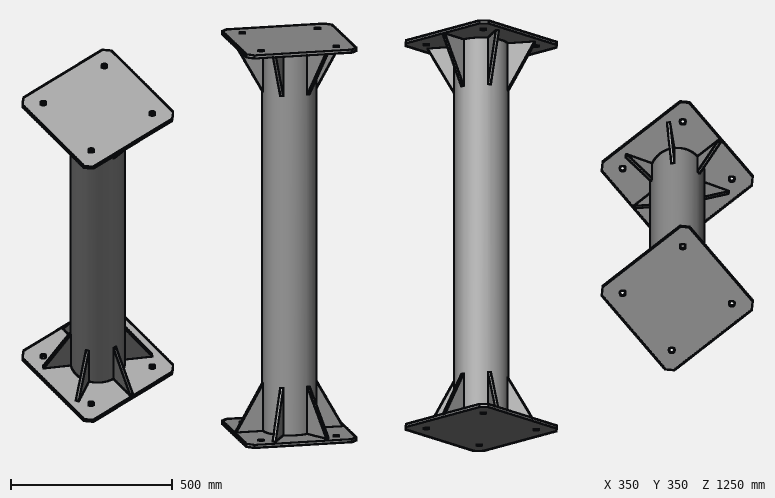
import cadquery as cq

column_height = 1250.0
plate_side = 350.0
plate_thickness = 10.0
plate_corner_cut = 20.0
tube_diameter = 170.0
bolt_spacing = 240.0
bolt_hole_diameter = 18.0
rib_count = 6
rib_height = 150.0
rib_thickness = 10.0
rib_reach = 170.0

tube_radius = tube_diameter / 2
half_height = column_height / 2


def make_end_plate():
    """Square bottom plate with cut corners and four bolt holes."""
    return (
        cq.Workplane("XY")
        .box(plate_side, plate_side, plate_thickness, centered=(True, True, False))
        .edges("|Z")
        .chamfer(plate_corner_cut)
        .faces(">Z")
        .workplane()
        .rect(bolt_spacing, bolt_spacing, forConstruction=True)
        .vertices()
        .hole(bolt_hole_diameter)
    )


def make_rib():
    """Triangular gusset along +X, with its inner edge buried in the tube."""
    rib_top = plate_thickness + rib_height
    buried_radius = tube_radius / 2
    return (
        cq.Workplane("XZ")
        .moveTo(buried_radius, plate_thickness)
        .lineTo(rib_reach, plate_thickness)
        .lineTo(tube_radius, rib_top)
        .lineTo(buried_radius, rib_top)
        .close()
        .extrude(rib_thickness / 2, both=True)
    )


def make_foot():
    """Bottom plate with its ring of evenly spaced ribs."""
    foot = make_end_plate()
    rib = make_rib()
    for index in range(rib_count):
        angle = index * 360 / rib_count
        foot = foot.union(rib.rotate((0, 0, 0), (0, 0, 1), angle))
    return foot


foot = make_foot()
head = foot.mirror("XY", (0, 0, half_height))
tube = cq.Workplane("XY").circle(tube_radius).extrude(column_height)
result = tube.union(foot).union(head)